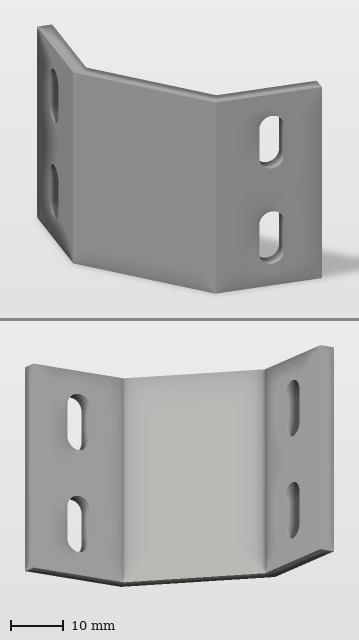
import cadquery as cq
import math

overall_width = 60.0
height = 40.0
thickness = 3.0
flange_length = 21.25
bend_angle = 45.0
slot_width = 5.0
slot_length = 11.0

angle = math.radians(bend_angle)
slot_spacing = height / 2
half_width = overall_width / 2
tip_y = flange_length * math.sin(angle)
outer_bend_x = half_width - flange_length * math.cos(angle)
bend_setback = thickness * math.tan(angle / 2)
inner_bend_x = outer_bend_x - bend_setback
inner_tip_x = half_width - thickness * math.sin(angle)
inner_tip_y = tip_y + thickness * math.cos(angle)
slot_from_tip = (flange_length - bend_setback) / 2


def bent_plate():
    """Flat web with a flange bent back on each side, extruded along Z."""
    right_side = [
        (outer_bend_x, 0),
        (half_width, tip_y),
        (inner_tip_x, inner_tip_y),
        (inner_bend_x, thickness),
    ]
    left_side = [(-x, y) for x, y in reversed(right_side)]
    profile = cq.Workplane("XY").polyline(right_side + left_side).close()
    return profile.extrude(height / 2, both=True)


def flange_slots(side):
    """Cutters for the two upright slots of one flange; side is +1 or -1 along X."""
    center_x = side * (half_width - slot_from_tip * math.cos(angle))
    center_y = tip_y - slot_from_tip * math.sin(angle)
    outer_face = cq.Plane(
        origin=(center_x, center_y, 0),
        xDir=(0, 0, 1),
        normal=(side * math.sin(angle), -math.cos(angle), 0),
    )
    slots = cq.Workplane(outer_face).rarray(slot_spacing, 0.6, 2, 1).slot2D(slot_length, slot_width)
    return slots.extrude(thickness, both=True)


result = bent_plate()
for side in (-1, 1):
    result = result.cut(flange_slots(side))